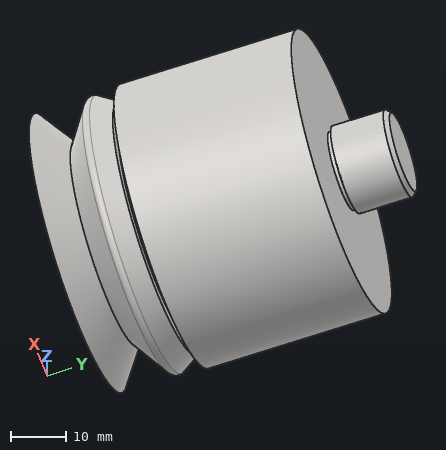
import cadquery as cq

total_length = 62.45
waist_position = 5.4
bead_round_start = 10.05
bead_crest = 11.0
bead_round_end = 11.55
bellows_back = 15.25
body_front = 16.5
body_back = 50.6
stud_front = 51.45

body_diameter = 54.0
lip_diameter = 53.1
waist_diameter = 38.7
bead_front_diameter = 52.1
bead_crest_diameter = 53.1
bead_back_diameter = 52.8
bellows_back_diameter = 48.2
collar_front_diameter = 42.85
collar_back_diameter = 41.95
stud_neck_diameter = 14.9
stud_diameter = 16.7
stud_chamfer = 0.9


def cylinder(diameter, start, end):
    """Solid cylinder on the Y axis between two Y positions."""
    profile = cq.Workplane("XY").moveTo(0, start)
    profile = profile.lineTo(diameter / 2, start).lineTo(diameter / 2, end).lineTo(0, end).close()
    return profile.revolve(360, (0, 0, 0), (0, 1, 0))


def bellows():
    """Flared lip, waist, rounded bead and tapered collar, revolved about Y."""
    profile = (
        cq.Workplane("XY")
        .lineTo(lip_diameter / 2, 0)
        .lineTo(waist_diameter / 2, waist_position)
        .lineTo(bead_front_diameter / 2, bead_round_start)
        .threePointArc(
            (bead_crest_diameter / 2, bead_crest),
            (bead_back_diameter / 2, bead_round_end),
        )
        .lineTo(bellows_back_diameter / 2, bellows_back)
        .lineTo(collar_front_diameter / 2, bellows_back)
        .lineTo(collar_back_diameter / 2, body_front)
        .lineTo(0, body_front)
        .close()
    )
    return profile.revolve(360, (0, 0, 0), (0, 1, 0))


body = cylinder(body_diameter, body_front, body_back)
stud_neck = cylinder(stud_neck_diameter, body_back, stud_front)
stud = cylinder(stud_diameter, stud_front, total_length).faces(">Y").edges().chamfer(stud_chamfer)

result = bellows().union(body).union(stud_neck).union(stud)